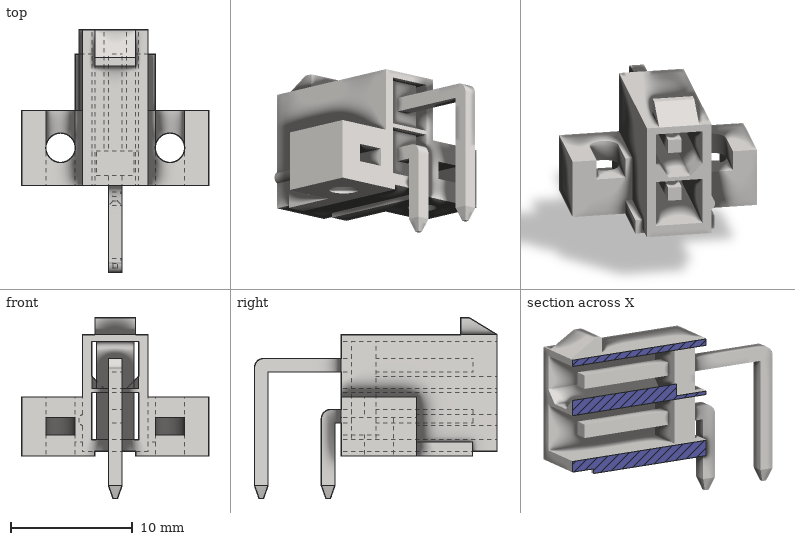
import cadquery as cq


housing_width = 5.4
housing_length = 12.83
housing_top = 10.0
board_gap = 0.4

flange_width = 15.4
flange_length = 6.2
flange_height = 4.87
channel_width = 3.35
foot_length = 10.82
foot_height = 1.17

hole_diameter = 2.4
hole_spacing = 9.0
hole_y = 3.12
slot_split_z = 3.18
rear_slot_height = 1.46

cell_width = 3.85
cell_height = 3.87
cell_pitch = 4.2
lower_cell_floor = 1.35
pin_wall_width = 3.12
pin_wall_recess = 0.85
pin_wall_thickness = 2.0
key_chamfer = 1.02

latch_width = channel_width
latch_height = 1.4
latch_length = 3.0
latch_flat = 0.7

rib_centre_z = 2.97
rib_height = 0.92
rib_projection = 0.3

pin_size = 1.14
pin_bend_radius = 0.8
pin_bottom = -3.5
pin_tip_length = 1.1
pin_tip_size = 0.37
pin_end_setback = 2.0
lower_pin_top = 3.85
lower_pin_reach = 1.64
upper_pin_reach = 7.14

upper_pin_top = lower_pin_top + cell_pitch
upper_cell_floor = lower_cell_floor + cell_pitch


def block(width, y_start, y_end, z_start, z_end, x_centre=0.0):
    """Box of the given width between two Y and two Z limits."""
    corner = cq.Vector(x_centre - width / 2, y_start, z_start)
    return cq.Workplane(cq.Solid.makeBox(width, y_end - y_start, z_end - z_start, corner))


def extrude_along_y(profile, y_start, y_end):
    """Extrude a profile drawn on the XZ plane from y_start to y_end."""
    return profile.extrude(y_start - y_end).translate((0, y_start, 0))


def make_shell():
    """Housing, flange and feet, with the channel under the housing removed."""
    foot_span = hole_spacing - hole_diameter
    shell = block(housing_width, 0, housing_length, board_gap, housing_top)
    shell = shell.union(block(flange_width, 0, flange_length, 0, flange_height))
    shell = shell.union(block(foot_span, 0, foot_length, 0, foot_height))
    return shell.cut(block(channel_width, 0, foot_length, 0, board_gap))


def make_fastener_cut(x_centre):
    """Through hole with an open-topped front slot and a closed rear slot."""
    hole = cq.Workplane("XY").center(x_centre, hole_y).circle(hole_diameter / 2).extrude(flange_height)
    front_slot = block(hole_diameter, hole_y, flange_length, slot_split_z, flange_height, x_centre)
    rear_slot_floor = slot_split_z - rear_slot_height
    rear_slot = block(hole_diameter, 0, hole_y, rear_slot_floor, slot_split_z, x_centre)
    return hole.union(front_slot).union(rear_slot)


def make_cell(floor_z):
    """Passage for one contact along the whole housing."""
    return block(cell_width, 0, housing_length, floor_z, floor_z + cell_height)


def make_pin_wall(floor_z):
    """Wall across a cell, narrower than the cell so a slit stays open at each side."""
    wall_end = pin_wall_recess + pin_wall_thickness
    return block(pin_wall_width, pin_wall_recess, wall_end, floor_z, floor_z + cell_height)


def make_key_wedge(side):
    """Triangular fill in a lower corner of the upper cell; side is -1 or 1."""
    x_corner = side * cell_width / 2
    profile = cq.Workplane("XZ").polyline([
        (x_corner, upper_cell_floor),
        (x_corner - side * key_chamfer, upper_cell_floor),
        (x_corner, upper_cell_floor + key_chamfer),
    ]).close()
    return extrude_along_y(profile, pin_wall_recess + pin_wall_thickness, housing_length)


def make_latch():
    """Ramp rising from the mating end to a short flat with a square back."""
    latch_back = housing_length - latch_length
    latch_top = housing_top + latch_height
    profile = cq.Workplane("YZ").polyline([
        (housing_length, housing_top),
        (latch_back + latch_flat, latch_top),
        (latch_back, latch_top),
        (latch_back, housing_top),
    ]).close()
    return profile.extrude(latch_width / 2, both=True)


def make_rib():
    """Rounded rib along the -X side from the flange to the mating end."""
    x_wall = -housing_width / 2
    half_height = rib_height / 2
    profile = (
        cq.Workplane("XZ")
        .moveTo(x_wall, rib_centre_z - half_height)
        .threePointArc((x_wall - rib_projection, rib_centre_z), (x_wall, rib_centre_z + half_height))
        .close()
    )
    return extrude_along_y(profile, flange_length, housing_length)


def make_pin(top_z, reach):
    """Square pin bent down at the rear, with a tapered tip."""
    shank_bottom = pin_bottom + pin_tip_length
    pin_end = housing_length - pin_end_setback
    horizontal_leg = block(pin_size, -reach, pin_end, top_z - pin_size, top_z)
    vertical_leg = block(pin_size, -reach, pin_size - reach, shank_bottom, top_z)
    pin = horizontal_leg.union(vertical_leg)
    pin = pin.edges(cq.selectors.NearestToPointSelector((0, -reach, top_z))).fillet(pin_bend_radius)
    tip = (
        cq.Workplane("XY", origin=(0, pin_size / 2 - reach, pin_bottom))
        .rect(pin_tip_size, pin_tip_size)
        .workplane(offset=pin_tip_length)
        .rect(pin_size, pin_size)
        .loft(ruled=True)
    )
    return pin.union(tip)


result = make_shell()
for side in (-1, 1):
    result = result.cut(make_fastener_cut(side * hole_spacing / 2))
for floor_z in (lower_cell_floor, upper_cell_floor):
    result = result.cut(make_cell(floor_z))
    result = result.union(make_pin_wall(floor_z))
for side in (-1, 1):
    result = result.union(make_key_wedge(side))
result = result.union(make_latch()).union(make_rib())
result = result.union(make_pin(lower_pin_top, lower_pin_reach))
result = result.union(make_pin(upper_pin_top, upper_pin_reach))